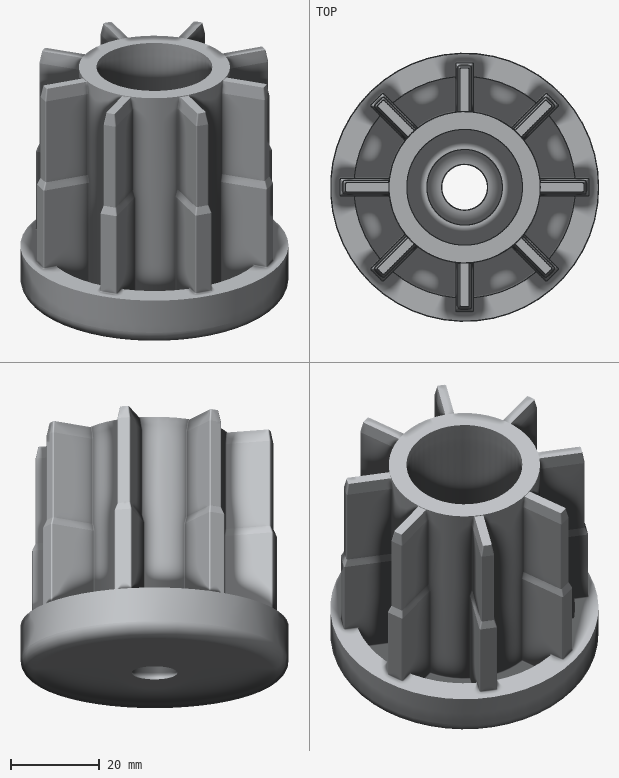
import cadquery as cq
import math

total_height = 55.0
base_radius = 30.15
base_height = 11.0
base_edge_round = 3.0

recess_radius = 24.9
recess_depth = 5.95
floor_z = base_height - recess_depth

tube_radius = 17.0
bore_radius = 13.0
step_radius = 8.5
hole_radius = 5.1

rib_count = 8
lower_reach, lower_width = 28.0, 4.0
upper_reach, upper_width = 27.3, 3.0
tip_reach, tip_width = 26.85, 2.05
rib_start = (tube_radius + bore_radius) / 2
step_bottom_z = 30.3
step_top_z = 32.0
tip_bottom_z = 52.0
rib_top_drop = 0.2
rib_top_z = total_height - rib_top_drop
rib_corner_round = 0.3

corner_fillet = 0.25
tolerance = 0.01


def rib_section(z, reach, width):
    """Outline of a rib at height z, with rounded outer corners."""
    length = reach - rib_start
    return (
        cq.Sketch()
        .push([(rib_start + length / 2, 0)])
        .rect(length, width)
        .reset()
        .vertices(">X")
        .fillet(rib_corner_round)
        .moved(cq.Location(cq.Vector(0, 0, z)))
    )


def rib_tier(bottom, top):
    """Straight or tapered piece of a rib between two (z, reach, width) sections."""
    sections = [rib_section(*bottom), rib_section(*top)]
    return cq.Workplane("XY").placeSketch(*sections).loft(ruled=True)


def make_rib():
    """One rib along +X: two straight tiers, each ending in a taper."""
    levels = [
        (floor_z, lower_reach, lower_width),
        (step_bottom_z, lower_reach, lower_width),
        (step_top_z, upper_reach, upper_width),
        (tip_bottom_z, upper_reach, upper_width),
        (rib_top_z, tip_reach, tip_width),
    ]
    rib = rib_tier(levels[0], levels[1])
    for bottom, top in zip(levels[1:], levels[2:]):
        rib = rib.union(rib_tier(bottom, top))
    return rib


def make_base():
    """Disc with a rounded lower edge and the ring recess in its top."""
    disc = cq.Workplane("XY").circle(base_radius).extrude(base_height)
    disc = disc.faces("<Z").edges().fillet(base_edge_round)
    recess = cq.Workplane("XY").workplane(offset=floor_z).circle(recess_radius).extrude(recess_depth)
    return disc.cut(recess)


def bore_cut(radius, bottom_z):
    """Round cut from bottom_z up through the top of the tube."""
    plane = cq.Workplane("XY").workplane(offset=bottom_z)
    return plane.circle(radius).extrude(total_height - bottom_z)


def is_inside_corner(edge):
    """True for the joints of the recess floor, the ribs, the tube and the rim."""
    middle = edge.positionAt(0.5)
    radius = math.hypot(middle.x, middle.y)
    on_floor = abs(middle.z - floor_z) < tolerance
    on_rim = abs(middle.z - base_height) < tolerance
    if on_floor or on_rim:
        return on_floor or recess_radius + tolerance < radius < base_radius - tolerance
    on_tube = abs(radius - tube_radius) < tolerance
    on_recess_wall = abs(radius - recess_radius) < tolerance
    return (on_tube or on_recess_wall) and floor_z < middle.z < rib_top_z - tolerance


body = make_base().union(cq.Workplane("XY").circle(tube_radius).extrude(total_height))
rib = make_rib()
for index in range(rib_count):
    body = body.union(rib.rotate((0, 0, 0), (0, 0, 1), index * 360 / rib_count))

body = body.edges().filter(is_inside_corner).fillet(corner_fillet)

body = body.cut(bore_cut(bore_radius, base_height))
body = body.cut(bore_cut(step_radius, floor_z))
result = body.cut(bore_cut(hole_radius, 0))